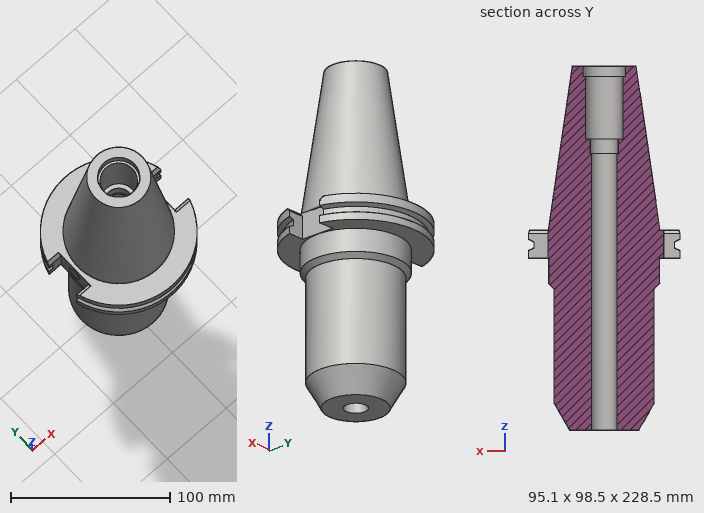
import cadquery as cq

total_length = 228.5
gauge_height = 126.9
flange_top = 125.7
flange_bottom = 108.0
collar_shoulder = 92.1
collar_bottom = 88.7
nose_height = 17.1

taper_top_radius = 40.2 / 2
gauge_radius = 70.0 / 2
flange_radius = 98.5 / 2
body_radius = 63.0 / 2
nose_radius = 43.5 / 2

groove_radius = 92.0 / 2
groove_outer_top = 119.8
groove_floor_top = 118.2
groove_floor_bottom = 114.5
groove_outer_bottom = 113.0

slot_width = 25.5
slot_chamfer = 2.3
left_slot_floor = 37.5
right_slot_floor = 35.5

chip_seat_diameter = 9.5
chip_seat_depth = 0.11
chip_seat_height = 116.1

counterbore_diameter = 26.5
counterbore_depth = 6.5
thread_bore_diameter = 23.3
thread_bore_depth = 45.7
thread_end_diameter = 17.4
thread_end_depth = 54.9
through_diameter = 16.0


def turned_body():
    """Revolve the taper, grooved flange, collar, body and nose."""
    profile = [
        (0, 0),
        (nose_radius, 0),
        (body_radius, nose_height),
        (body_radius, collar_bottom),
        (gauge_radius, collar_shoulder),
        (gauge_radius, flange_bottom),
        (flange_radius, flange_bottom),
        (flange_radius, groove_outer_bottom),
        (groove_radius, groove_floor_bottom),
        (groove_radius, groove_floor_top),
        (flange_radius, groove_outer_top),
        (flange_radius, flange_top),
        (gauge_radius, flange_top),
        (gauge_radius, gauge_height),
        (taper_top_radius, total_length),
        (0, total_length),
    ]
    return cq.Workplane("XZ").polyline(profile).close().revolve(360, (0, 0), (0, 1))


def drive_slot(floor_distance, side):
    """Slot through the flange with chamfered upper edges; side is -1 or +1 along X."""
    half_width = slot_width / 2
    chamfered_half_width = half_width + slot_chamfer
    section = [
        (-half_width, flange_bottom),
        (half_width, flange_bottom),
        (half_width, flange_top - slot_chamfer),
        (chamfered_half_width, flange_top),
        (-chamfered_half_width, flange_top),
        (-half_width, flange_top - slot_chamfer),
    ]
    start = cq.Workplane("YZ", origin=(side * floor_distance, 0, 0))
    return start.polyline(section).close().extrude(side * flange_radius)


def top_bore(diameter, depth):
    """Cylinder reaching down from the top face of the taper."""
    start = cq.Workplane("XY", origin=(0, 0, total_length))
    return start.circle(diameter / 2).extrude(-depth)


def chip_seat():
    """Shallow round recess in the left slot floor."""
    start = cq.Workplane("YZ", origin=(-left_slot_floor, 0, chip_seat_height))
    return start.circle(chip_seat_diameter / 2).extrude(chip_seat_depth)


result = turned_body()
result = result.cut(drive_slot(left_slot_floor, -1))
result = result.cut(drive_slot(right_slot_floor, 1))
result = result.cut(chip_seat())

bore_steps = [
    (counterbore_diameter, counterbore_depth),
    (thread_bore_diameter, thread_bore_depth),
    (thread_end_diameter, thread_end_depth),
    (through_diameter, total_length),
]
for diameter, depth in bore_steps:
    result = result.cut(top_bore(diameter, depth))